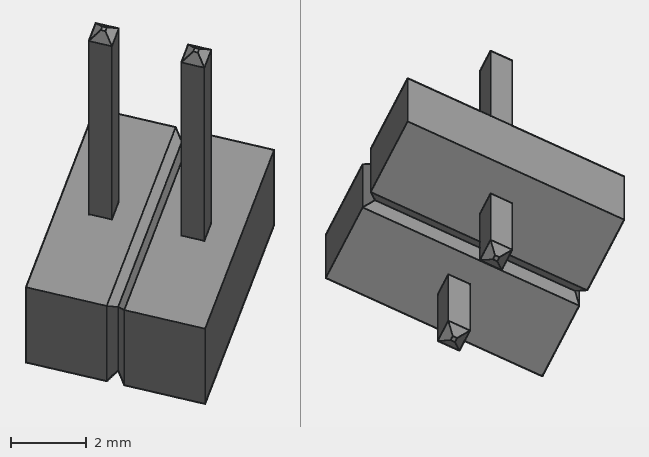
import cadquery as cq

housing_length = 4.93
housing_width = 6.35
housing_height = 3.14
groove_width = 0.48
groove_depth = 0.24

pin_count = 2
pin_pitch = 2.55
pin_side = 0.64
pin_length = 14.22
tail_length = 3.61
tip_height = 0.24
tip_side = 0.13

pin_positions = [(i - (pin_count - 1) / 2) * pin_pitch for i in range(pin_count)]


def groove_cutter(half_span, length, plane):
    """V-grooves in the two opposite faces at +/- half_span, centred on X = 0."""
    cutter = cq.Workplane(plane)
    for side in (1, -1):
        face = side * half_span
        cutter = (
            cutter.moveTo(-groove_width / 2, face)
            .lineTo(groove_width / 2, face)
            .lineTo(0, face - side * groove_depth)
            .close()
        )
    return cutter.extrude(length / 2, both=True)


def make_housing():
    """Block with a V-groove all around between the positions and square pin holes."""
    block = cq.Workplane("XY").box(housing_length, housing_width, housing_height)
    block = block.cut(groove_cutter(housing_height / 2, housing_width, "XZ"))
    block = block.cut(groove_cutter(housing_width / 2, housing_height, "XY"))
    holes = (
        cq.Workplane("XY")
        .pushPoints([(x, 0) for x in pin_positions])
        .rect(pin_side, pin_side)
        .extrude(housing_height, both=True)
    )
    return block.cut(holes)


def make_tip(base_z, height):
    """Pyramid tip rising (or falling, for negative height) from base_z."""
    return (
        cq.Workplane("XY", origin=(0, 0, base_z))
        .rect(pin_side, pin_side)
        .workplane(offset=height)
        .rect(tip_side, tip_side)
        .loft(ruled=True, combine=True)
    )


def make_pin(x):
    """Square pin with a pointed tip at both ends, passing through the housing."""
    bottom = -housing_height / 2 - tail_length
    shaft_bottom = bottom + tip_height
    shaft_top = bottom + pin_length - tip_height
    shaft = (
        cq.Workplane("XY", origin=(0, 0, shaft_bottom))
        .rect(pin_side, pin_side)
        .extrude(shaft_top - shaft_bottom)
    )
    pin = shaft.union(make_tip(shaft_top, tip_height)).union(make_tip(shaft_bottom, -tip_height))
    return pin.translate((x, 0, 0))


housing = make_housing()
pins = [make_pin(x) for x in pin_positions]

result = cq.Compound.makeCompound([housing.val(), *[pin.val() for pin in pins]])